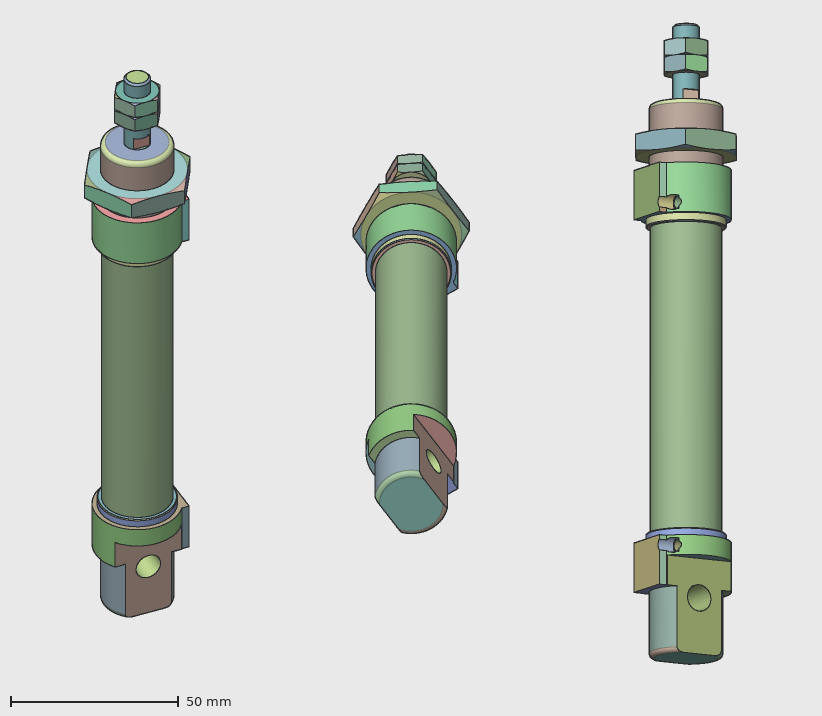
import cadquery as cq
import math

TANG_TOP = 20.0
CAP_LENGTH = 15.0
COLLAR_LENGTH = 2.5
NOSE_LENGTH = 20.0
NOSE_TOP = 168.0
REAR_CAP_TOP = TANG_TOP + CAP_LENGTH
FRONT_CAP_TOP = NOSE_TOP - NOSE_LENGTH
FRONT_CAP_BOTTOM = FRONT_CAP_TOP - CAP_LENGTH
REAR_COLLAR_TOP = REAR_CAP_TOP + COLLAR_LENGTH
FRONT_COLLAR_BOTTOM = FRONT_CAP_BOTTOM - COLLAR_LENGTH

CAP_DIAMETER = 27.0
COLLAR_DIAMETER = 24.0
BARREL_DIAMETER = 21.4
COLLAR_CHAMFER = 0.3
THREAD_DIAMETER = 22.0
END_FILLET = 1.5

PAD_WIDTH = 15.5
PAD_REACH = CAP_DIAMETER / 2

SCREW_HOLE_DIAMETER = 3.5
SCREW_HOLE_DEPTH = 8.0
SCREW_COUNTERBORE_DIAMETER = 4.5
SCREW_COUNTERBORE_DEPTH = 5.2
SCREW_HOLE_INSET = 3.0
SCREW_HOLE_X = -9.3

TANG_WIDTH = 16.0
TANG_FLAT_TOP = 29.0
PIN_HOLE_DIAMETER = 8.0
PIN_HOLE_Z = 17.0

ROD_TOP = 192.0
ROD_BOTTOM = FRONT_CAP_BOTTOM
ROD_DIAMETER = 8.0
ROD_TIP_DIAMETER = 6.65
ROD_TIP_CHAMFER = (ROD_DIAMETER - ROD_TIP_DIAMETER) / 2
WRENCH_FLAT_WIDTH = 6.0
WRENCH_FLAT_HEIGHT = 4.0

ROD_NUT_ACROSS_FLATS = 13.0
ROD_NUT_HEIGHT = 5.0
ROD_NUT_COUNT = 2
ROD_NUT_BOTTOM = 177.0
NOSE_NUT_ACROSS_FLATS = 30.0
NOSE_NUT_HEIGHT = 6.0
NOSE_NUT_BOTTOM = 152.0
ROD_NUT_CHAMFER_ANGLE = 20.0
NOSE_NUT_CHAMFER_ANGLE = 15.0


def axial_cylinder(diameter, bottom, top):
    """Cylinder on the Z axis between two heights."""
    return cq.Workplane("XY").workplane(offset=bottom).circle(diameter / 2).extrude(top - bottom)


def cap(bottom):
    """Round end cap with a flat port pad on its +Y side."""
    body = axial_cylinder(CAP_DIAMETER, bottom, bottom + CAP_LENGTH)
    pad = cq.Workplane("XY").box(PAD_WIDTH, PAD_REACH, CAP_LENGTH, centered=(True, False, False))
    return body.union(pad.translate((0, 0, bottom)))


def screw_hole(z):
    """Stepped cutter running in from the +Y side along the flank of a pad."""
    plane = cq.Workplane("XZ", origin=(SCREW_HOLE_X, CAP_DIAMETER / 2, z))
    hole = plane.circle(SCREW_HOLE_DIAMETER / 2).extrude(SCREW_HOLE_DEPTH)
    counterbore = plane.circle(SCREW_COUNTERBORE_DIAMETER / 2).extrude(SCREW_COUNTERBORE_DEPTH)
    return hole.union(counterbore)


def tang_flat(side):
    """Block that trims the tang and the lower rear cap flat on one X side."""
    flat = cq.Workplane("XY").box(CAP_DIAMETER, 2 * CAP_DIAMETER, TANG_FLAT_TOP, centered=(True, True, False))
    return flat.translate((side * (TANG_WIDTH + CAP_DIAMETER) / 2, 0, 0))


def make_housing():
    """Barrel with both end caps, the threaded nose and the mounting tang."""
    tang = axial_cylinder(THREAD_DIAMETER, 0, TANG_TOP).faces("<Z").edges().fillet(END_FILLET)
    nose = axial_cylinder(THREAD_DIAMETER, FRONT_CAP_TOP, NOSE_TOP).faces(">Z").edges().fillet(END_FILLET)

    body = axial_cylinder(BARREL_DIAMETER, TANG_TOP, FRONT_CAP_TOP)
    rear_collar = axial_cylinder(COLLAR_DIAMETER, TANG_TOP, REAR_COLLAR_TOP)
    front_collar = axial_cylinder(COLLAR_DIAMETER, FRONT_COLLAR_BOTTOM, FRONT_CAP_TOP)
    body = body.union(rear_collar.faces(">Z").edges().chamfer(COLLAR_CHAMFER))
    body = body.union(front_collar.faces("<Z").edges().chamfer(COLLAR_CHAMFER))
    body = body.union(cap(TANG_TOP)).union(cap(FRONT_CAP_BOTTOM)).union(tang).union(nose)

    for side in (-1, 1):
        body = body.cut(tang_flat(side))

    for z in (REAR_CAP_TOP - SCREW_HOLE_INSET, FRONT_CAP_BOTTOM + SCREW_HOLE_INSET):
        body = body.cut(screw_hole(z))

    pin_hole = cq.Workplane("YZ", origin=(-TANG_WIDTH / 2, 0, PIN_HOLE_Z))
    pin_hole = pin_hole.circle(PIN_HOLE_DIAMETER / 2).extrude(TANG_WIDTH)
    return body.cut(pin_hole).cut(axial_cylinder(ROD_DIAMETER, ROD_BOTTOM, NOSE_TOP))


def make_rod():
    """Piston rod with a chamfered tip and two wrench flats above the nose."""
    rod = axial_cylinder(ROD_DIAMETER, ROD_BOTTOM, ROD_TOP).faces(">Z").edges().chamfer(ROD_TIP_CHAMFER)
    for side in (-1, 1):
        flat = cq.Workplane("XY").box(
            ROD_DIAMETER, ROD_DIAMETER, WRENCH_FLAT_HEIGHT, centered=(True, True, False)
        )
        rod = rod.cut(flat.translate((side * (WRENCH_FLAT_WIDTH + ROD_DIAMETER) / 2, 0, NOSE_TOP)))
    return rod


def hex_nut(across_flats, height, bore, bottom, chamfer_angle):
    """Hexagon nut with corners on the Y axis, corners chamfered by a cone at both ends."""
    corner_radius = across_flats / math.sqrt(3)
    face_radius = across_flats / 2
    drop = (corner_radius - face_radius) * math.tan(math.radians(chamfer_angle))
    blank = cq.Workplane("XY").polygon(6, 2 * corner_radius).extrude(height).rotate((0, 0, 0), (0, 0, 1), 30)
    envelope = (
        cq.Workplane("XZ")
        .moveTo(0, 0)
        .lineTo(face_radius, 0)
        .lineTo(corner_radius, drop)
        .lineTo(corner_radius, height - drop)
        .lineTo(face_radius, height)
        .lineTo(0, height)
        .close()
        .revolve(360, (0, 0, 0), (0, 1, 0))
    )
    nut = blank.intersect(envelope).cut(axial_cylinder(bore, 0, height))
    return nut.translate((0, 0, bottom))


housing = make_housing()
rod = make_rod()
nose_nut = hex_nut(
    NOSE_NUT_ACROSS_FLATS, NOSE_NUT_HEIGHT, THREAD_DIAMETER, NOSE_NUT_BOTTOM, NOSE_NUT_CHAMFER_ANGLE
)
rod_nuts = []
for i in range(ROD_NUT_COUNT):
    bottom = ROD_NUT_BOTTOM + i * ROD_NUT_HEIGHT
    rod_nuts.append(
        hex_nut(ROD_NUT_ACROSS_FLATS, ROD_NUT_HEIGHT, ROD_DIAMETER, bottom, ROD_NUT_CHAMFER_ANGLE)
    )

result = cq.Compound.makeCompound(
    [housing.val(), rod.val(), nose_nut.val(), *[nut.val() for nut in rod_nuts]]
)